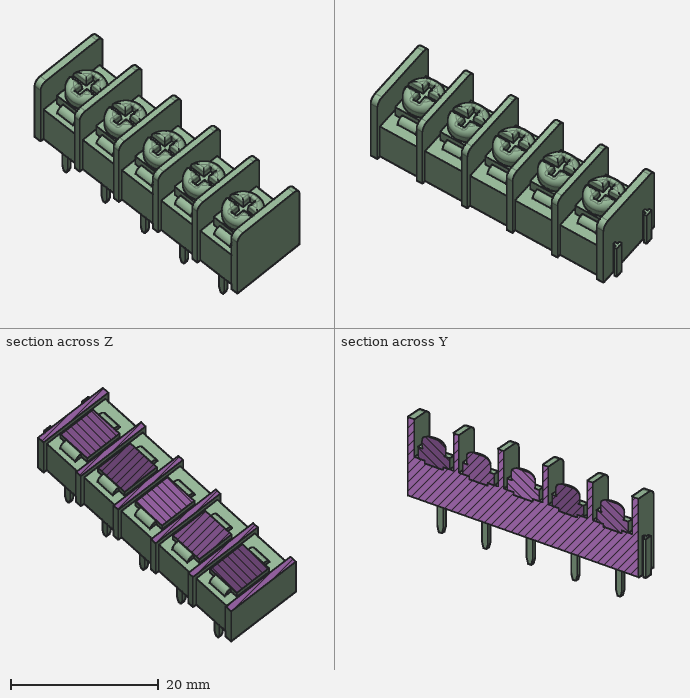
import cadquery as cq
import math


TERMINAL_COUNT = 5
PITCH = 7.45
TOTAL_LENGTH = 39.47
BODY_DEPTH = 10.8
BODY_HEIGHT = 6.45
BARRIER_DEPTH = 12.0
BARRIER_HEIGHT = 12.28
BARRIER_THICKNESS = 1.0
BARRIER_CORNER_RADIUS = 1.1

RIB_PROJECTION = 0.85
RIB_HEIGHT = 6.05
RIB_SPACING = 7.03
RIB_LIP_WIDTH = 1.22
RIB_LIP_THICKNESS = 0.45
RIB_NECK_WIDTH = 0.47

TERMINAL_Y = -0.4
HEAD_DIAMETER = 5.85
HEAD_BOTTOM = 8.17
HEAD_TOP = 10.45
HEAD_CROWN_RADIUS = 1.1
HEAD_UNDERSIDE_RADIUS = 0.25
CLAMP_LENGTH = 5.35
CLAMP_DEPTH = 6.0
STRIP_WIDTH = 3.05
STRIP_DEPTH = 8.35
STRIP_TOP = 7.25
STRIP_BEND_RADIUS = 1.1
STRIP_LEG = 0.15
PIN_WIDTH = 1.03
PIN_THICKNESS = 0.65
PIN_PROJECTION = 5.0
PIN_TIP_WIDTH = 0.5
PIN_TIP_LENGTH = 0.95

RECESS_DEPTH = 1.2
RECESS_DRAFT = 6.0
RECESS_RIM_RADIUS = 0.4
POCKET_FLOOR_WIDTH = 0.83
POCKET_FLOOR_LENGTH = 3.4
SLOT_FLOOR_WIDTH = 0.7

housing_length = TOTAL_LENGTH - RIB_PROJECTION
housing_end = housing_length / 2
strip_bottom = STRIP_TOP - STRIP_BEND_RADIUS - STRIP_LEG
recess_floor = HEAD_TOP - RECESS_DEPTH


def box(x_range, y_range, z_range):
    """Box between the given limits along each axis."""
    size = [high - low for low, high in (x_range, y_range, z_range)]
    corner = (x_range[0], y_range[0], z_range[0])
    return cq.Workplane("XY").box(*size, centered=False).translate(corner)


def centred_box(length, depth, bottom, top):
    """Box centred on the Z axis between two heights."""
    return box((-length / 2, length / 2), (-depth / 2, depth / 2), (bottom, top))


def make_barrier(x_low, x_high):
    """Upright wall across the housing with rounded top corners."""
    barrier = box((x_low, x_high), (-BARRIER_DEPTH / 2, BARRIER_DEPTH / 2), (0, BARRIER_HEIGHT))
    return barrier.edges("|X and >Z").fillet(BARRIER_CORNER_RADIUS)


def make_rib(y_centre):
    """T-shaped rib: a neck on the end wall that carries a wider lip."""
    tip = -housing_end - RIB_PROJECTION
    lip_inside = tip + RIB_LIP_THICKNESS
    lip_y = (y_centre - RIB_LIP_WIDTH / 2, y_centre + RIB_LIP_WIDTH / 2)
    neck_y = (y_centre - RIB_NECK_WIDTH / 2, y_centre + RIB_NECK_WIDTH / 2)
    lip = box((tip, lip_inside), lip_y, (0, RIB_HEIGHT))
    neck = box((lip_inside, -housing_end), neck_y, (0, RIB_HEIGHT))
    return lip.union(neck)


def make_housing():
    """Row of blocks with a barrier on both sides of every terminal."""
    housing = centred_box(housing_length, BODY_DEPTH, 0, BODY_HEIGHT)
    for index in range(TERMINAL_COUNT + 1):
        x_centre = (index - TERMINAL_COUNT / 2) * PITCH
        x_low = x_centre - BARRIER_THICKNESS / 2
        x_high = x_centre + BARRIER_THICKNESS / 2
        if index == 0:
            x_low = -housing_end
        if index == TERMINAL_COUNT:
            x_high = housing_end
        housing = housing.union(make_barrier(x_low, x_high))
    for side in (-1, 1):
        housing = housing.union(make_rib(side * RIB_SPACING / 2))
    return housing


def cut_pocket(head):
    """Cut the drafted pocket along Y and round its rim."""
    pocket = cq.Workplane("XY").workplane(offset=recess_floor)
    pocket = pocket.rect(POCKET_FLOOR_WIDTH, POCKET_FLOOR_LENGTH)
    pocket = pocket.extrude(RECESS_DEPTH, taper=-RECESS_DRAFT)
    return head.cut(pocket).faces(">Z").edges("|Y").fillet(RECESS_RIM_RADIUS)


def make_slot():
    """Cutter for the drafted slot along X, with rounded upper edges."""
    draft = math.radians(RECESS_DRAFT)
    floor_half = SLOT_FLOOR_WIDTH / 2
    tangent_length = RECESS_RIM_RADIUS * math.tan(math.pi / 4 - draft / 2)
    edge_half = floor_half + RECESS_DEPTH * math.tan(draft)
    rim_half = edge_half + tangent_length
    wall_half = edge_half - tangent_length * math.sin(draft)
    wall_top = HEAD_TOP - tangent_length * math.cos(draft)

    outline = cq.Workplane("YZ", origin=(-HEAD_DIAMETER / 2, 0, 0))
    outline = outline.moveTo(-floor_half, recess_floor).lineTo(floor_half, recess_floor)
    outline = outline.lineTo(wall_half, wall_top)
    outline = outline.radiusArc((rim_half, HEAD_TOP), RECESS_RIM_RADIUS)
    outline = outline.lineTo(-rim_half, HEAD_TOP)
    outline = outline.radiusArc((-wall_half, wall_top), RECESS_RIM_RADIUS)
    return outline.close().extrude(HEAD_DIAMETER)


def make_screw_head():
    """Round head with a rounded crown and a cross recess."""
    head = cq.Workplane("XY").workplane(offset=HEAD_BOTTOM).circle(HEAD_DIAMETER / 2)
    head = head.extrude(HEAD_TOP - HEAD_BOTTOM)
    head = head.faces(">Z").edges().fillet(HEAD_CROWN_RADIUS)
    head = head.faces("<Z").edges().fillet(HEAD_UNDERSIDE_RADIUS)
    return cut_pocket(head).cut(make_slot())


def make_strip():
    """Contact strip under the clamp block, bent down at its front and back ends."""
    strip = centred_box(STRIP_WIDTH, STRIP_DEPTH, strip_bottom, STRIP_TOP)
    return strip.edges("|X and >Z").fillet(STRIP_BEND_RADIUS)


def make_pin():
    """Flat solder pin that runs down from the front end of the strip to a tapered tip."""
    tip = -PIN_PROJECTION
    shoulder = tip + PIN_TIP_LENGTH
    outline = [
        (-PIN_WIDTH / 2, strip_bottom),
        (-PIN_WIDTH / 2, shoulder),
        (-PIN_TIP_WIDTH / 2, tip),
        (PIN_TIP_WIDTH / 2, tip),
        (PIN_WIDTH / 2, shoulder),
        (PIN_WIDTH / 2, strip_bottom),
    ]
    front = cq.Workplane("XZ", origin=(0, -STRIP_DEPTH / 2 + PIN_THICKNESS, 0))
    return front.polyline(outline).close().extrude(PIN_THICKNESS)


def make_terminal():
    """One complete terminal with its screw on the Z axis."""
    clamp = centred_box(CLAMP_LENGTH, CLAMP_DEPTH, BODY_HEIGHT, HEAD_BOTTOM)
    return clamp.union(make_screw_head()).union(make_strip()).union(make_pin())


terminal = make_terminal()
terminals = []
for index in range(TERMINAL_COUNT):
    x_centre = (index - (TERMINAL_COUNT - 1) / 2) * PITCH
    terminals.append(terminal.translate((x_centre, TERMINAL_Y, 0)))

housing = make_housing()
for placed_terminal in terminals:
    housing = housing.cut(placed_terminal)

result = cq.Compound.makeCompound([housing.val(), *[placed.val() for placed in terminals]])